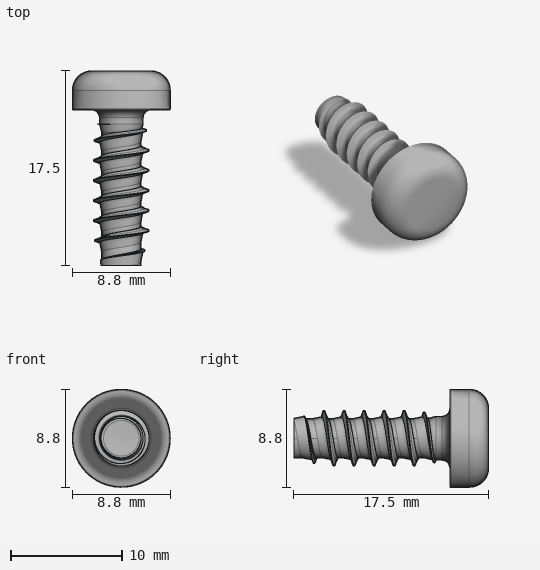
import cadquery as cq
import math


head_radius = 4.4
head_height = 3.5
crown_radius = 1.75
rim_radius = 0.1
shank_radius = 1.97
neck_fillet = 0.7
shank_length = 1.25
body_length = 13.99
core_radius = 1.76

dimple_radius = 1.6
dimple_depth = 0.1

pitch = 1.8
crest_radius = 2.5
crest_half_width = 0.03
flank_slope = math.tan(math.radians(20))
knee_depth = 0.43
foot_reach = 0.4
thread_depth = crest_radius - core_radius
steps_per_turn = 12

sink = 0.1

crest_offset = 0.94
thread_start = -0.16
thread_end = 7.24
run_in_radius = 2.12
run_in_growth = 0.32
run_out_start = 5.8
least_scale = 0.04

first_taper_length = 0.8
taper_length = 1.05
taper_growth_turns = 0.25
taper_start = (shank_length - crest_offset) / pitch


def crest_position(turn):
    """Axial place of the crest; the first part of the thread lies flat against the end of the shank."""
    return -max(shank_length, crest_offset + pitch * turn)


def thread_scale(turn):
    """Size of the thread section: it grows at the run-in and fades away towards the tip."""
    run_in = (run_in_radius + run_in_growth * turn - core_radius) / thread_depth
    run_out = (thread_end - turn) / (thread_end - run_out_start)
    return max(least_scale, min(1.0, run_in, run_out))


def thread_section(turn):
    """Corners (radius, distance from the crest) of the thread section, scaled about the core surface."""
    scale = thread_scale(turn)
    knee_reach = crest_half_width + knee_depth * flank_slope
    knee_height = thread_depth - knee_depth
    foot_slope = (foot_reach - knee_reach) / knee_height
    head_foot = foot_reach * scale + sink * foot_slope
    tip_foot = (crest_half_width + thread_depth * flank_slope) * scale + sink * flank_slope
    crest = core_radius + thread_depth * scale
    return [
        (core_radius - sink, -head_foot),
        (core_radius + knee_height * scale, -knee_reach * scale),
        (crest, -crest_half_width * scale),
        (crest, crest_half_width * scale),
        (core_radius - sink, tip_foot),
    ]


def taper_section(turn):
    """Corners (radius, distance from the crest) of the tapered land, kept below the fading crest."""
    growth = min(1.0, (turn - taper_start) / taper_growth_turns)
    length = first_taper_length + (taper_length - first_taper_length) * growth
    sunk_length = length * (1 + sink / (shank_radius - core_radius))
    height = min(shank_radius, core_radius + thread_depth * thread_scale(turn))
    return [
        (core_radius - sink, 0),
        (height, 0),
        (core_radius - sink, sunk_length),
    ]


def helical_point(turn, radius, distance):
    """Point on a right-handed helix that starts on the -X side and first passes the -Z side."""
    angle = 2 * math.pi * turn
    return cq.Vector(-radius * math.cos(angle), crest_position(turn) - distance, -radius * math.sin(angle))


def helical_solid(section, start, end):
    """Solid swept by a section, given as a function of the turn, along the thread."""
    count = math.ceil((end - start) * steps_per_turn)
    turns = [start + (end - start) * i / count for i in range(count + 1)]
    rows = [[helical_point(turn, *corner) for corner in section(turn)] for turn in turns]
    rails = [cq.Edge.makeSpline(list(rail)) for rail in zip(*rows)]
    sides = [cq.Face.makeRuledSurface(rails[i - 1], rails[i]) for i in range(len(rails))]
    caps = [cq.Face.makeFromWires(cq.Wire.makePolygon(row, close=True)) for row in (rows[0], rows[-1])]
    return cq.Solid.makeSolid(cq.Shell.makeShell(sides + caps))


def make_blank():
    """Head, shank and core turned as one profile, without the thread."""
    diagonal = math.sqrt(0.5)
    crown_corner = head_radius - crown_radius
    crown_start = head_height - crown_radius
    neck_outer = shank_radius + neck_fillet
    return (
        cq.Workplane("XY")
        .moveTo(0, head_height)
        .lineTo(crown_corner, head_height)
        .threePointArc(
            (crown_corner + crown_radius * diagonal, crown_start + crown_radius * diagonal),
            (head_radius, crown_start),
        )
        .lineTo(head_radius, rim_radius)
        .threePointArc(
            (head_radius - rim_radius * (1 - diagonal), rim_radius * (1 - diagonal)),
            (head_radius - rim_radius, 0),
        )
        .lineTo(neck_outer, 0)
        .threePointArc(
            (neck_outer - neck_fillet * diagonal, -neck_fillet * (1 - diagonal)),
            (shank_radius, -neck_fillet),
        )
        .lineTo(shank_radius, -shank_length)
        .lineTo(core_radius, -shank_length - first_taper_length)
        .lineTo(core_radius, -body_length)
        .lineTo(dimple_radius, -body_length)
        .lineTo(0, -body_length + dimple_depth)
        .close()
        .revolve(360, (0, 0, 0), (0, 1, 0))
    )


def make_ridge(section, start):
    """Helical ridge along the body, cut off flat at the end of the shank and at the tip."""
    zone = (
        cq.Workplane("XZ", origin=(0, -shank_length, 0))
        .circle(head_radius)
        .extrude(body_length - shank_length)
    )
    return zone.intersect(cq.Workplane(helical_solid(section, start, thread_end)))


taper = make_ridge(taper_section, taper_start)
thread = make_ridge(thread_section, thread_start)
result = make_blank().union(taper).union(thread)